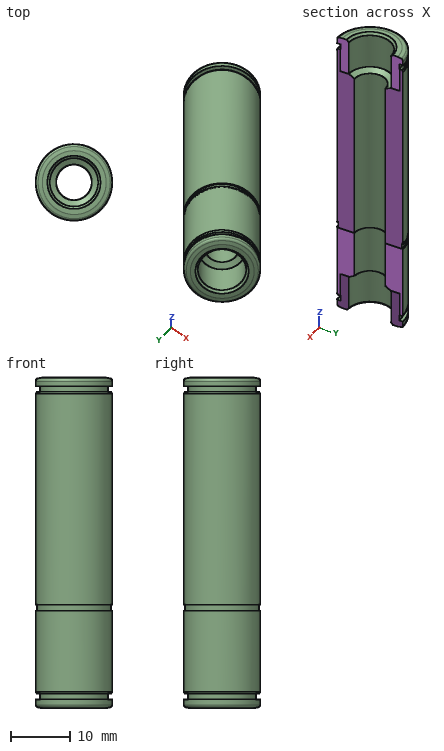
import cadquery as cq
import math

LENGTH = 56.0
OUTER_R = 13.0 / 2

FLANGE_HEIGHT = 1.5
CROWN_DROP = 0.14
RIM_DROP = 0.6
FACE_R = 10.8 / 2
CROWN_R = 12.2 / 2
NECK_R = 11.6 / 2
NECK_GAP = 0.95
NECK_INSERT = 4.5
TUBE_R = 8.2 / 2
MOUTH_R = 9.0 / 2
MOUTH_DEPTH = 0.45

HOUSING_EDGE_R = 12.6 / 2
HOUSING_EDGE_HEIGHT = 0.35
GROOVE_R = 12.6 / 2
GROOVE_BOTTOM = 16.5
GROOVE_TOP = 17.5
BORE_R = 6.0 / 2
SEAT_DEPTH = 0.6

HOUSING_INSET = FLANGE_HEIGHT + NECK_GAP
SOCKET_INSET = HOUSING_INSET + NECK_INSERT


def turn(outline):
    """Turn a closed half section around the Z axis."""
    return outline.revolve(360, (0, 0, 0), (0, 1, 0))


def release_ring(end_z, inward):
    """Ring whose face lies at end_z; inward is the Z direction into the part."""
    def at(radius, depth):
        return (radius, end_z + inward * depth)

    rim_width = OUTER_R - CROWN_R
    rim_height = RIM_DROP - CROWN_DROP
    rim_radius = (rim_width**2 + rim_height**2) / (2 * rim_width)
    half_sweep = math.asin(rim_height / rim_radius) / 2
    rim_middle = at(
        OUTER_R - rim_radius * (1 - math.cos(half_sweep)),
        RIM_DROP - rim_radius * math.sin(half_sweep),
    )
    outline = (
        cq.Workplane("XZ")
        .moveTo(*at(MOUTH_R, 0))
        .lineTo(*at(FACE_R, 0))
        .lineTo(*at(CROWN_R, CROWN_DROP))
        .threePointArc(rim_middle, at(OUTER_R, RIM_DROP))
        .lineTo(*at(OUTER_R, FLANGE_HEIGHT))
        .lineTo(*at(NECK_R, FLANGE_HEIGHT))
        .lineTo(*at(NECK_R, SOCKET_INSET))
        .lineTo(*at(TUBE_R, SOCKET_INSET))
        .lineTo(*at(TUBE_R, MOUTH_DEPTH))
        .close()
    )
    return turn(outline)


def housing(end_z, inward, shoulder_z, joint_z):
    """Sleeve from a ring end to the joint, with a reduced spigot past the shoulder."""
    edge_z = end_z + inward * HOUSING_INSET
    socket_z = end_z + inward * SOCKET_INSET
    profile = [
        (NECK_R, edge_z),
        (HOUSING_EDGE_R, edge_z),
        (OUTER_R, edge_z + inward * HOUSING_EDGE_HEIGHT),
        (OUTER_R, shoulder_z),
    ]
    if shoulder_z != joint_z:
        profile += [(GROOVE_R, shoulder_z), (GROOVE_R, joint_z)]
    profile += [
        (BORE_R, joint_z),
        (BORE_R, socket_z + inward * SEAT_DEPTH),
        (TUBE_R, socket_z),
        (NECK_R, socket_z),
    ]
    return turn(cq.Workplane("XZ").polyline(profile).close())


rings = [release_ring(end_z, inward) for end_z, inward in ((0, 1), (LENGTH, -1))]
lower_housing = housing(0, 1, GROOVE_BOTTOM, GROOVE_BOTTOM)
upper_housing = housing(LENGTH, -1, GROOVE_TOP, GROOVE_BOTTOM)

result = cq.Compound.makeCompound(
    [lower_housing.val(), upper_housing.val(), *[ring.val() for ring in rings]]
)